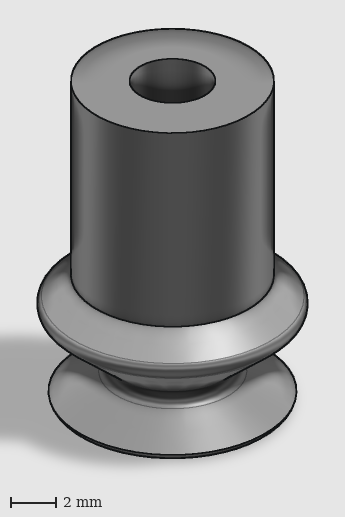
import cadquery as cq
import math

total_height = 16.4
tube_length = 10.0
tube_radius = 9.0 / 2
shoulder_height = total_height - tube_length

bore_diameter = 3.8
bore_depth = tube_length

fold_radius = 12.0 / 2
fold_round = 0.5
fold_height = 4.92

waist_radius = 3.0
waist_round = 0.5
waist_height = 1.9

lip_radius = 5.5
lip_edge_height = 0.38
lip_base_radius = 5.1
lip_bulge = 0.06

fold_center = (fold_radius - fold_round, fold_height)
waist_center = (waist_radius + waist_round, waist_height)


def point_on_circle(center, radius, angle):
    """Point on a circle in the (radius, height) half plane."""
    return (center[0] + radius * math.cos(angle), center[1] + radius * math.sin(angle))


def direction_and_distance(start, end):
    """Angle and length of the line from start to end."""
    run = end[0] - start[0]
    rise = end[1] - start[1]
    return math.atan2(rise, run), math.hypot(run, rise)


def tangent_angles():
    """Angles at which the three cones touch the fold and waist arcs."""
    angle, distance = direction_and_distance(fold_center, (tube_radius, shoulder_height))
    fold_top = angle - math.acos(fold_round / distance)

    angle, distance = direction_and_distance(fold_center, waist_center)
    fold_bottom = angle + math.acos((fold_round + waist_round) / distance)
    waist_top = fold_bottom + math.pi

    angle, distance = direction_and_distance(waist_center, (lip_radius, lip_edge_height))
    waist_bottom = angle - math.acos(waist_round / distance)
    return fold_top, fold_bottom, waist_top, waist_bottom


def make_body():
    """Tube, bellows fold, waist and lip revolved about Z."""
    fold_top, fold_bottom, waist_top, waist_bottom = tangent_angles()
    lip_edge_middle = (
        (lip_radius + lip_base_radius) / 2 + lip_bulge,
        lip_edge_height / 2 - lip_bulge,
    )
    profile = (
        cq.Workplane("XZ")
        .moveTo(0, total_height)
        .lineTo(tube_radius, total_height)
        .lineTo(tube_radius, shoulder_height)
        .lineTo(*point_on_circle(fold_center, fold_round, fold_top))
        .threePointArc(
            point_on_circle(fold_center, fold_round, 0),
            point_on_circle(fold_center, fold_round, fold_bottom),
        )
        .lineTo(*point_on_circle(waist_center, waist_round, waist_top))
        .threePointArc(
            point_on_circle(waist_center, waist_round, math.pi),
            point_on_circle(waist_center, waist_round, waist_bottom),
        )
        .lineTo(lip_radius, lip_edge_height)
        .threePointArc(lip_edge_middle, (lip_base_radius, 0))
        .lineTo(0, 0)
        .close()
    )
    return profile.revolve(360, (0, 0, 0), (0, 1, 0))


def make_bore():
    """Cylinder removed from the top of the tube."""
    return (
        cq.Workplane("XY")
        .workplane(offset=total_height - bore_depth)
        .circle(bore_diameter / 2)
        .extrude(bore_depth)
    )


result = make_body().cut(make_bore())